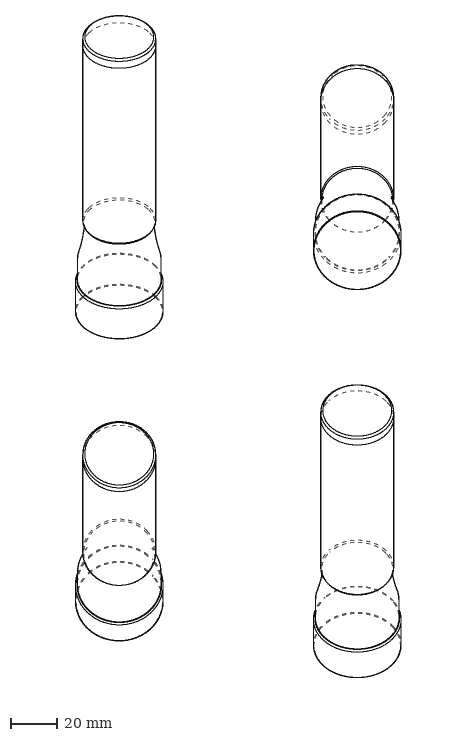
import cadquery as cq

total_height = 152.4

barrel_radius = 15.8
cap_height = 4.7
cap_chamfer = 0.9

ring_radius = 19.0
ring_top = 18.0
ring_top_chamfer_width = 0.6
ring_top_chamfer_height = 1.0
ring_bottom_chamfer = 0.3

head_radius = 18.1
neck_radius = 15.4
flare_bottom = 30.0
flare_top = 45.0
barrel_bottom = 50.7
barrel_chamfer_height = 0.9

flare_sag = 0.3
flare_middle = (
    (head_radius + neck_radius) / 2 - flare_sag,
    (flare_bottom + flare_top) / 2,
)

cap_bottom = total_height - cap_height


def make_body():
    """Head ring, flared head, neck and barrel, revolved as one solid."""
    return (
        cq.Workplane("XZ")
        .moveTo(0, 0)
        .lineTo(ring_radius - ring_bottom_chamfer, 0)
        .lineTo(ring_radius, ring_bottom_chamfer)
        .lineTo(ring_radius, ring_top - ring_top_chamfer_height)
        .lineTo(ring_radius - ring_top_chamfer_width, ring_top)
        .lineTo(head_radius, ring_top)
        .lineTo(head_radius, flare_bottom)
        .threePointArc(flare_middle, (neck_radius, flare_top))
        .lineTo(neck_radius, barrel_bottom - barrel_chamfer_height)
        .lineTo(barrel_radius, barrel_bottom)
        .lineTo(barrel_radius, cap_bottom)
        .lineTo(0, cap_bottom)
        .close()
        .revolve(360, (0, 0, 0), (0, 1, 0))
    )


def make_tail_cap():
    """Flush disc closing the barrel, chamfered around its outer end."""
    return (
        cq.Workplane("XY", origin=(0, 0, cap_bottom))
        .circle(barrel_radius)
        .extrude(cap_height)
        .faces(">Z")
        .chamfer(cap_chamfer)
    )


body = make_body()
tail_cap = make_tail_cap()

result = cq.Compound.makeCompound([body.val(), tail_cap.val()])